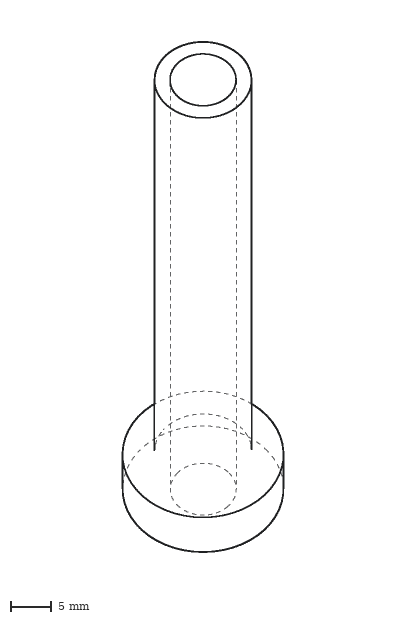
import cadquery as cq

total_length = 82.0
head_diameter = 20.0
head_height = 7.0
shank_diameter = 12.05
bore_diameter = 8.2
neck_fillet_radius = 0.7

head = cq.Workplane("XY").circle(head_diameter / 2).extrude(head_height)

shank = cq.Workplane("XY").circle(shank_diameter / 2).extrude(total_length)
body = head.union(shank)

neck_edges = body.faces("%CYLINDER").edges(cq.selectors.RadiusNthSelector(0)).edges("<Z")
body = neck_edges.fillet(neck_fillet_radius)

bore = cq.Workplane("XY").circle(bore_diameter / 2).extrude(total_length)
result = body.cut(bore)